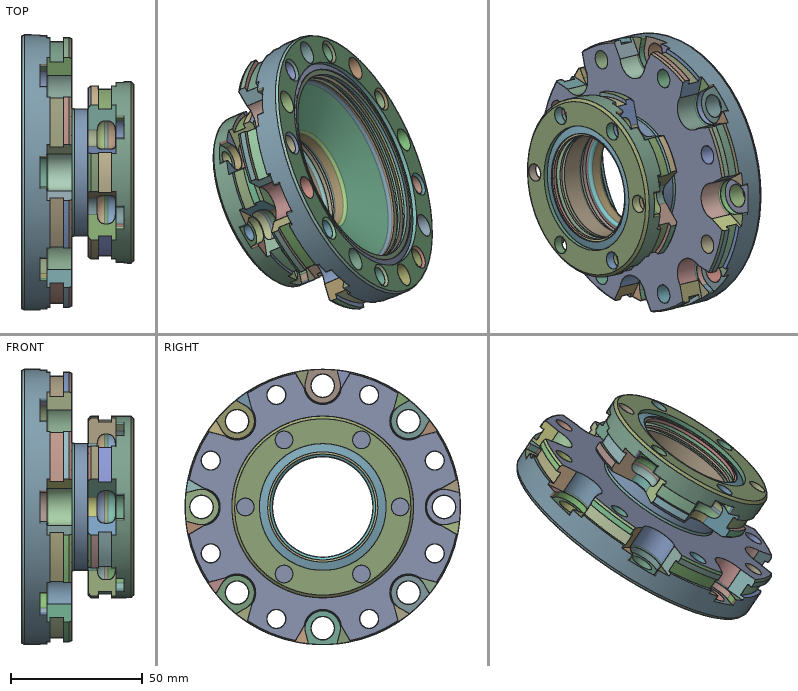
import cadquery as cq
import math


total_length = 42.7
large_back_x = 19.1
stub_end_x = 20.1
spigot_end_x = 23.6
small_back_x = 25.3

neck_radius = 24.2
stub_root_radius = 24.4
spigot_radius = 21.5
collar_chamfer = 0.2

large_radius = 52.5
large_chamfer_length = 1.0
large_chamfer_depth = 0.5
large_groove_radius = 50.8
large_groove_start_x = 10.8
large_groove_end_x = 15.8
large_recess_radius = 41.2
large_knife_radius = 38.7
large_land_radius = 36.8
large_clip_grooves = [(2.6, 4.6), (5.6, 7.3)]

funnel_start_x = 9.1
funnel_end_x = 17.7
funnel_fillet = 1.5
large_bore_radius = 19.1
bore_edge_fillet = 1.3

large_hole_count = 8
large_pitch_radius = 46.2
large_hole_radius = 4.4
thread_hole_radius = 3.6
thread_chamfer = 0.9
large_slot_floor_x = 9.5
large_slot_radius = 6.6
large_slot_half_angle = 30.0
spotface_radius = 7.1
spotface_floor_fillet = 0.5
large_pocket_floor_x = 7.0
large_mouth_half_width = 5.6
large_pocket_wall_angle = 15.0

small_radius = 34.6
small_chamfer = 1.0
small_groove_radius = 33.1
small_groove_start_x = 29.2
small_groove_end_x = 34.2
small_recess_radius = 24.1
small_knife_radius = 21.0
small_land_radius = 20.1
small_clip_grooves = [(2.6, 4.6), (5.6, 6.8)]
small_counterbore_end_x = 26.9

small_hole_count = 6
small_pitch_radius = 29.5
small_hole_radius = 3.4
small_slot_floor_x = 35.9
small_slot_radius = 5.1
small_slot_half_angle = 45.0
small_pocket_floor_x = 39.0
small_mouth_half_width = 4.4
small_pocket_wall_angle = 12.0
cavity_radius = 6.3
cavity_middle_x = 32.2
cavity_flat_width = 1.3
cavity_corner_radius = 4.0

mouth_fillet = 0.5
knife_tip_depth = 0.8
recess_wall_depth = 1.7
land_start_depth = 1.4
clip_groove_depth = 2.0


def revolve_about_x(points):
    """Revolve a closed outline of (x, radius) points about the X axis."""
    return cq.Workplane("XZ").polyline(points).close().revolve(360, (0, 0, 0), (1, 0, 0))


def fillet_ring(body, x, size):
    """Round the only circular edge around the main axis that lies at x."""
    tolerance = 0.01
    low_corner = (x - tolerance, -tolerance, -tolerance)
    high_corner = (x + tolerance, tolerance, tolerance)
    ring = cq.selectors.BoxSelector(low_corner, high_corner)
    return body.edges(ring).fillet(size)


def round_bore_edge(body, x, bore_radius, size):
    """Round the circular edge where a bore ends on a flat face at x."""
    circles = body.edges("%CIRCLE").vals()
    bore_edges = [
        edge for edge in circles
        if math.isclose(edge.Center().x, x, abs_tol=0.01)
        and math.isclose(edge.radius(), bore_radius, abs_tol=0.01)
    ]
    return body.newObject(bore_edges).fillet(size)


def cylinder_along_x(start_x, end_x, radius, offset):
    """Cylinder parallel to X whose axis is offset along Y."""
    return cq.Workplane("YZ", origin=(start_x, offset, 0)).circle(radius).extrude(end_x - start_x)


def cut_around(body, cutter, count, first_angle=0.0):
    """Cut copies of a cutter, evenly spaced about the X axis."""
    for index in range(count):
        angle = first_angle + index * 360.0 / count
        body = body.cut(cutter.rotate((0, 0, 0), (1, 0, 0), angle))
    return body


def seal_outline(recess_radius, knife_radius, land_radius, clip_grooves):
    """(depth, radius) points of the gasket recess, knife edge and clip grooves."""
    points = [
        (0, recess_radius),
        (recess_wall_depth, recess_radius),
        (knife_tip_depth, knife_radius),
        (land_start_depth, knife_radius),
        (land_start_depth, land_radius),
    ]
    for start, end in clip_grooves:
        floor_radius = land_radius + clip_groove_depth
        points += [(start, land_radius), (start, floor_radius), (end, floor_radius), (end, land_radius)]
    return points


def bolt_slot(start_x, end_x, pitch_radius, radius, half_angle, rim_radius):
    """Round-bottomed slot whose slanted walls, tangent to the bottom, widen towards the rim."""
    angle = math.radians(half_angle)
    tangent_u = pitch_radius - radius * math.sin(angle)
    tangent_v = radius * math.cos(angle)
    outer_u = rim_radius + 1
    outer_v = tangent_v + (outer_u - tangent_u) * math.tan(angle)
    return (
        cq.Workplane("YZ", origin=(start_x, 0, 0))
        .moveTo(outer_u, outer_v)
        .lineTo(tangent_u, tangent_v)
        .threePointArc((pitch_radius - radius, 0), (tangent_u, -tangent_v))
        .lineTo(outer_u, -outer_v)
        .close()
        .extrude(end_x - start_x)
    )


def bolt_pocket(start_x, end_x, pitch_radius, mouth_half_width, wall_angle, rim_radius):
    """Round-ended pocket whose walls close in towards a mouth with rounded corners.

    The round end is centred on the bolt axis and tangent to the walls.
    """
    angle = math.radians(wall_angle)
    wall_u = math.sin(angle)
    wall_v = math.cos(angle)

    centre_distance = rim_radius - mouth_fillet
    centre_v = mouth_half_width + mouth_fillet
    centre_u = math.sqrt(centre_distance ** 2 - centre_v ** 2)
    rim_u = centre_u * rim_radius / centre_distance
    rim_v = centre_v * rim_radius / centre_distance
    narrow_u = centre_u
    narrow_v = mouth_half_width
    neck_u = centre_u - mouth_fillet * wall_u
    neck_v = centre_v - mouth_fillet * wall_v

    radius = (neck_u - pitch_radius) * wall_u + neck_v * wall_v
    end_u = pitch_radius + radius * wall_u
    end_v = radius * wall_v

    outer_u = rim_radius + 1
    return (
        cq.Workplane("YZ", origin=(start_x, 0, 0))
        .moveTo(outer_u, rim_v)
        .lineTo(rim_u, rim_v)
        .threePointArc((narrow_u, narrow_v), (neck_u, neck_v))
        .lineTo(end_u, end_v)
        .threePointArc((pitch_radius - radius, 0), (end_u, -end_v))
        .lineTo(neck_u, -neck_v)
        .threePointArc((narrow_u, -narrow_v), (rim_u, -rim_v))
        .lineTo(outer_u, -rim_v)
        .close()
        .extrude(end_x - start_x)
    )


def barrel_cavity():
    """Barrel-shaped widening around a bolt axis of the small flange."""
    drop = cavity_radius - small_slot_radius
    half_flat = cavity_flat_width / 2
    half_length = half_flat + math.sqrt(2 * cavity_corner_radius * drop - drop ** 2)
    middle_offset = (half_length - half_flat) / 2
    middle_radius = (
        cavity_radius - cavity_corner_radius
        + math.sqrt(cavity_corner_radius ** 2 - middle_offset ** 2)
    )
    arc_middle = half_flat + middle_offset
    return (
        cq.Workplane("XY", origin=(cavity_middle_x, small_pitch_radius, 0))
        .moveTo(-half_length, 0)
        .lineTo(-half_length, small_slot_radius)
        .threePointArc((-arc_middle, middle_radius), (-half_flat, cavity_radius))
        .lineTo(half_flat, cavity_radius)
        .threePointArc((arc_middle, middle_radius), (half_length, small_slot_radius))
        .lineTo(half_length, 0)
        .close()
        .revolve(360, (0, 0, 0), (1, 0, 0))
    )


def large_flange_blank():
    edge_radius = large_radius - large_chamfer_depth
    inside = seal_outline(large_recess_radius, large_knife_radius,
                          large_land_radius, large_clip_grooves)
    inside += [
        (funnel_start_x, large_land_radius),
        (funnel_end_x, large_bore_radius),
        (spigot_end_x, large_bore_radius),
    ]
    outside = [
        (spigot_end_x, spigot_radius),
        (stub_end_x, spigot_radius),
        (stub_end_x, neck_radius),
        (large_back_x, stub_root_radius),
        (large_back_x, edge_radius),
        (large_back_x - large_chamfer_length, large_radius),
        (large_groove_end_x, large_radius),
        (large_groove_end_x, large_groove_radius),
        (large_groove_start_x, large_groove_radius),
        (large_groove_start_x, large_radius),
        (large_chamfer_length, large_radius),
        (0, edge_radius),
    ]
    blank = revolve_about_x(inside + outside)
    blank = fillet_ring(blank, funnel_start_x, funnel_fillet)
    blank = fillet_ring(blank, funnel_end_x, funnel_fillet)
    return round_bore_edge(blank, spigot_end_x, large_bore_radius, bore_edge_fillet)


def large_flange():
    slot = bolt_slot(large_slot_floor_x, large_back_x, large_pitch_radius, large_slot_radius,
                     large_slot_half_angle, large_radius)
    spotface = cylinder_along_x(large_slot_floor_x, large_back_x, spotface_radius, large_pitch_radius)
    spotface = spotface.faces("<X").edges().fillet(spotface_floor_fillet)
    pocket = bolt_pocket(large_pocket_floor_x, large_slot_floor_x, large_pitch_radius,
                         large_mouth_half_width, large_pocket_wall_angle, large_radius)
    bolt_hole = cylinder_along_x(0, large_slot_floor_x, large_hole_radius, large_pitch_radius)
    thread_hole = cylinder_along_x(0, large_back_x, thread_hole_radius, large_pitch_radius)
    countersink = cq.Workplane(cq.Solid.makeCone(
        thread_hole_radius + thread_chamfer, thread_hole_radius, thread_chamfer,
        cq.Vector(0, large_pitch_radius, 0), cq.Vector(1, 0, 0),
    ))

    body = large_flange_blank()
    for cutter in (slot, spotface, pocket, bolt_hole):
        body = cut_around(body, cutter, large_hole_count)
    half_step = 180.0 / large_hole_count
    for cutter in (thread_hole, countersink):
        body = cut_around(body, cutter, large_hole_count, half_step)
    return body


def neck_collar():
    return revolve_about_x([
        (stub_end_x, spigot_radius),
        (small_back_x, spigot_radius),
        (small_back_x, neck_radius - collar_chamfer),
        (small_back_x - collar_chamfer, neck_radius),
        (stub_end_x, neck_radius),
    ])


def small_flange_blank():
    edge_radius = small_radius - small_chamfer
    seal = seal_outline(small_recess_radius, small_knife_radius,
                        small_land_radius, small_clip_grooves)
    inside = [(total_length - depth, radius) for depth, radius in seal]
    inside += [
        (small_counterbore_end_x, small_land_radius),
        (small_counterbore_end_x, spigot_radius),
        (small_back_x, spigot_radius),
    ]
    outside = [
        (small_back_x, edge_radius),
        (small_back_x + small_chamfer, small_radius),
        (small_groove_start_x, small_radius),
        (small_groove_start_x, small_groove_radius),
        (small_groove_end_x, small_groove_radius),
        (small_groove_end_x, small_radius),
        (total_length - small_chamfer, small_radius),
        (total_length, edge_radius),
    ]
    blank = revolve_about_x(inside + outside)
    return round_bore_edge(blank, small_counterbore_end_x, small_land_radius, bore_edge_fillet)


def small_flange():
    slot = bolt_slot(small_back_x, small_slot_floor_x, small_pitch_radius, small_slot_radius,
                     small_slot_half_angle, small_radius)
    pocket = bolt_pocket(small_slot_floor_x, small_pocket_floor_x, small_pitch_radius,
                         small_mouth_half_width, small_pocket_wall_angle, small_radius)
    bolt_hole = cylinder_along_x(small_slot_floor_x, total_length, small_hole_radius, small_pitch_radius)

    body = small_flange_blank()
    for cutter in (slot, barrel_cavity(), pocket, bolt_hole):
        body = cut_around(body, cutter, small_hole_count)
    return body


result = cq.Compound.makeCompound([
    large_flange().val(),
    neck_collar().val(),
    small_flange().val(),
])